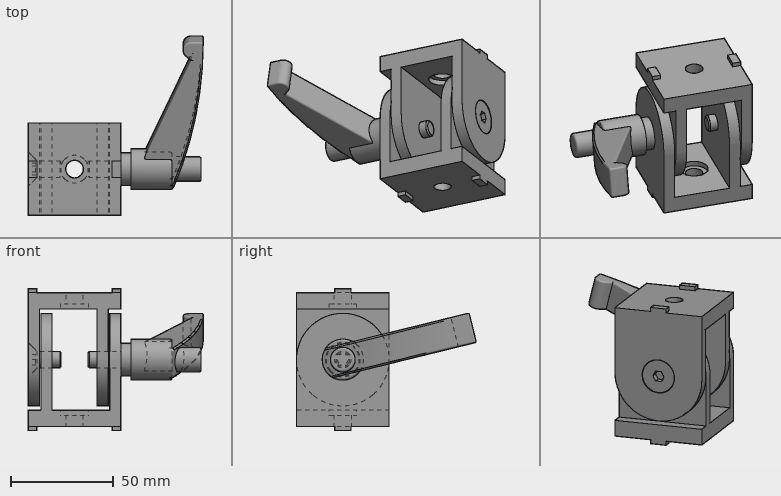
import cadquery as cq
import math


width = 45.0
half_width = width / 2
hinge_height = 69.0
tab_length = 4.2
tab_width = 8.0
tab_height = 2.0
plate_outer_z = hinge_height / 2 - tab_height
ear_radius = width / 2
ear_thickness = 5.5
ear_clearance = 2.0
ear_gap = 0.6
plate_thickness = plate_outer_z - ear_radius - ear_clearance
plate_hole_diameter = 8.5
plate_bore_diameter = 13.5
plate_bore_depth = 2.5
outer_ear_x = -half_width
inner_ear_x = half_width - 2 * ear_thickness - ear_gap

pin_diameter = 8.0
pin_tip_diameter = 6.6
pin_tip_x = 6.45
pin_chamfer = (pin_diameter - pin_tip_diameter) / 2
head_diameter = 16.4
head_recess = 0.2
head_height = (head_diameter - pin_diameter) / 2
socket_flats = 5.0
socket_depth = 3.5

collar_diameter = 16.0
collar_length = 4.8
hub_diameter = 20.0
hub_radius = hub_diameter / 2
hub_length = 20.05
hub_fillet = 1.05
hub_start_x = half_width + collar_length
hub_end_x = hub_start_x + hub_length
button_diameter = 12.0
button_end_x = 61.5
button_fillet = 1.05

overall_length = 87.2
lever_tilt = 13.8
lever_thickness = 14.7
lever_fillet = 0.9
tilt_radians = math.radians(lever_tilt)
tip_reach = overall_length - half_width
edge_centre_drop = lever_thickness / 2 - lever_fillet
edge_centre_reach = tip_reach - lever_fillet - edge_centre_drop * math.sin(tilt_radians)
lever_tip_y = edge_centre_reach / math.cos(tilt_radians) + lever_fillet
lever_outer_x = 62.5
lever_back_radius = 190.1
lever_tail_y = -hub_radius - 0.9
knob_radius = 4.0
knob_x = 56.7
knob_y = lever_tip_y - knob_radius
knob_end_angle = 231.0
notch_x = 56.6
notch_y = 55.9
flank_angle = 25.0


def x_cylinder(diameter, start_x, end_x):
    """Cylinder on the pivot axis."""
    disc = cq.Workplane("YZ", origin=(start_x, 0, 0)).circle(diameter / 2)
    return disc.extrude(end_x - start_x)


def make_ear(start_x):
    """Upper bracket ear: straight up to the plate, round below the pivot."""
    leg_height = plate_outer_z - plate_thickness
    leg = (
        cq.Workplane("YZ", origin=(start_x, 0, 0))
        .rect(width, leg_height)
        .extrude(ear_thickness)
        .translate((0, 0, leg_height / 2))
    )
    return leg.union(x_cylinder(2 * ear_radius, start_x, start_x + ear_thickness))


def make_bracket():
    """Upper bracket with plain pivot holes."""
    plate_bottom_z = plate_outer_z - plate_thickness
    bracket = cq.Workplane("XY", origin=(0, 0, plate_bottom_z)).rect(width, width).extrude(plate_thickness)
    for start_x in (outer_ear_x, inner_ear_x):
        bracket = bracket.union(make_ear(start_x))
    tab_x = half_width - tab_length / 2
    tabs = (
        cq.Workplane("XY", origin=(0, 0, plate_outer_z))
        .pushPoints([(-tab_x, 0), (tab_x, 0)])
        .rect(tab_length, tab_width)
        .extrude(tab_height)
    )
    inner_face = cq.Workplane("XY", origin=(0, 0, plate_bottom_z))
    plate_hole = inner_face.circle(plate_hole_diameter / 2).extrude(plate_thickness)
    plate_bore = inner_face.circle(plate_bore_diameter / 2).extrude(plate_bore_depth)
    pivot_hole = x_cylinder(pin_diameter, -half_width, half_width)
    return bracket.union(tabs).cut(plate_hole).cut(plate_bore).cut(pivot_hole)


def make_upper_bracket():
    """Bracket whose flush ear is countersunk for the screw head."""
    sink_radius = head_diameter / 2 + head_recess
    sink_depth = head_height + head_recess
    sink = cq.Solid.makeCone(
        sink_radius, pin_diameter / 2, sink_depth, cq.Vector(outer_ear_x, 0, 0), cq.Vector(1, 0, 0)
    )
    return make_bracket().cut(cq.Workplane(sink))


def make_lower_bracket():
    """The same bracket turned half round about Y, so the ears interleave."""
    return make_bracket().rotate((0, 0, 0), (0, 1, 0), 180)


def make_countersunk_screw():
    """Left-hand pivot screw with a hexagon socket."""
    head_x = outer_ear_x + head_recess
    shank = x_cylinder(pin_diameter, head_x, -pin_tip_x)
    shank = shank.faces(">X").chamfer(pin_chamfer)
    head = cq.Solid.makeCone(
        head_diameter / 2, pin_diameter / 2, head_height, cq.Vector(head_x, 0, 0), cq.Vector(1, 0, 0)
    )
    socket_corners = socket_flats / math.cos(math.pi / 6)
    socket = cq.Workplane("YZ", origin=(head_x, 0, 0)).polygon(6, socket_corners).extrude(socket_depth)
    return shank.union(cq.Workplane(head)).cut(socket)


def make_clamp_stud():
    """Collar between bracket and handle, with the right-hand pivot pin."""
    pin = x_cylinder(pin_diameter, pin_tip_x, half_width).faces("<X").chamfer(pin_chamfer)
    return pin.union(x_cylinder(collar_diameter, half_width, hub_start_x))


def lever_back_x(y):
    """X of the convex lever back, which is upright at the tip."""
    drop = lever_tip_y - y
    return lever_outer_x - lever_back_radius + math.sqrt(lever_back_radius**2 - drop**2)


def knob_point(angle):
    """Point on the knob arc at an angle in degrees from +X."""
    turn = math.radians(angle)
    return knob_x + knob_radius * math.cos(turn), knob_y + knob_radius * math.sin(turn)


def make_foot():
    """Continuation of the hub up to the lever back, with a rounded rim."""
    back_x = lever_outer_x - lever_back_radius
    behind_back = (
        cq.Workplane("XY", origin=(back_x, lever_tip_y, -hub_diameter))
        .circle(lever_back_radius)
        .extrude(2 * hub_diameter)
    )
    foot = x_cylinder(hub_diameter, hub_start_x, lever_outer_x).intersect(behind_back)
    return foot.edges(">X").fillet(lever_fillet)


def make_lever():
    """Untilted lever blade, its foot trimmed to the round of the hub."""
    flank_run = (notch_y - lever_tail_y) * math.tan(math.radians(flank_angle))
    middle_y = (lever_tip_y + lever_tail_y) / 2
    blade = (
        cq.Workplane("XY", origin=(0, 0, -lever_thickness / 2))
        .moveTo(lever_outer_x, lever_tip_y)
        .lineTo(knob_x, lever_tip_y)
        .threePointArc(knob_point((90 + knob_end_angle) / 2), knob_point(knob_end_angle))
        .lineTo(notch_x, notch_y)
        .lineTo(notch_x - flank_run, lever_tail_y)
        .lineTo(lever_back_x(lever_tail_y), lever_tail_y)
        .threePointArc((lever_back_x(middle_y), middle_y), (lever_outer_x, lever_tip_y))
        .close()
        .extrude(lever_thickness)
    )
    tip_corner = cq.selectors.NearestToPointSelector((lever_outer_x, lever_tip_y, 0))
    blade = blade.edges(tip_corner).fillet(lever_fillet)
    blade = blade.faces("<Z or >Z").edges().fillet(lever_fillet)
    arm_space = cq.Workplane("XY").box(
        lever_outer_x - hub_start_x, lever_tip_y, lever_thickness, centered=(False, False, True)
    ).translate((hub_start_x, 0, 0))
    return blade.intersect(make_foot().union(arm_space))


def make_handle():
    """Round hub and tilted lever, bored to the hub end for the button."""
    hub = x_cylinder(hub_diameter, hub_start_x, hub_end_x).faces(">X").edges().fillet(hub_fillet)
    lever = make_lever().rotate((0, 0, 0), (1, 0, 0), lever_tilt)
    button_bore = x_cylinder(button_diameter, hub_end_x, lever_outer_x)
    return hub.union(lever).cut(button_bore)


def make_button():
    """Round button seated on the end of the hub."""
    return x_cylinder(button_diameter, hub_end_x, button_end_x).faces(">X").edges().fillet(button_fillet)


upper_bracket = make_upper_bracket()
lower_bracket = make_lower_bracket()
countersunk_screw = make_countersunk_screw()
clamp_stud = make_clamp_stud()
handle = make_handle()
button = make_button()

result = cq.Compound.makeCompound([
    upper_bracket.val(),
    lower_bracket.val(),
    countersunk_screw.val(),
    clamp_stud.val(),
    handle.val(),
    button.val(),
])